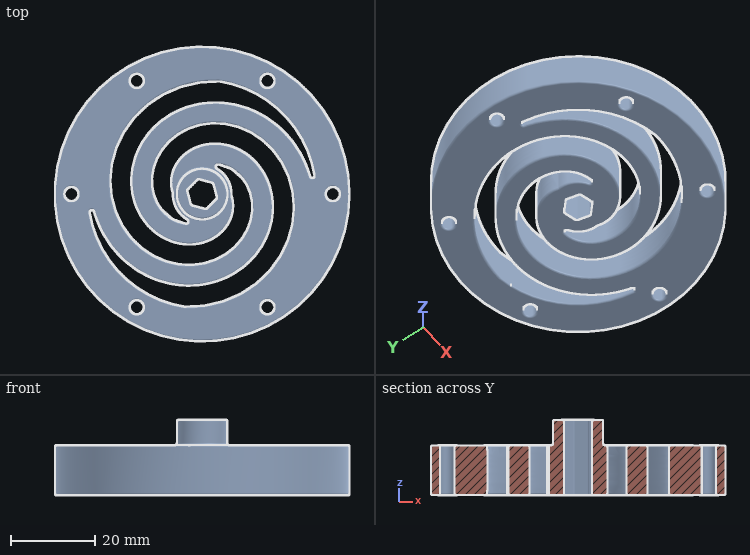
import cadquery as cq
import math

disc_radius = 35.0
disc_height = 12.0
edge_round = 0.5

boss_radius = 6.0
boss_height = 6.0
boss_edge_round = 0.5
boss_base_round = 0.4
hex_sides = 6
hex_across_flats = 6.4
hex_turn = 15.0
hex_corner_round = 0.5
hex_mouth_round = 0.35
mouth_box_half_width = 4.6
mouth_box_half_height = 0.1

arm_count = 2
arm_thickness = 5.0
hub_radius = 7.0
rim_inner_radius = 27.0
spiral_pitch = rim_inner_radius - hub_radius
spiral_start_angle = 72.0
slot_tip_round = 0.505
wall_spans = 36
bisection_steps = 50

hole_count = 6
hole_circle_radius = 31.0
hole_diameter = 3.3

OUTWARD = 1
INWARD = -1


def arm_wall_point(arm, side, middle_radius):
    """Point on one wall of an arm, square to its clockwise Archimedean middle line."""
    turns = middle_radius / spiral_pitch + arm / arm_count
    angle = math.radians(spiral_start_angle) - 2 * math.pi * turns
    lean = math.atan2(spiral_pitch / (2 * math.pi), middle_radius)
    offset = side * arm_thickness / 2
    x = middle_radius * math.cos(angle) + offset * math.cos(angle + lean)
    y = middle_radius * math.sin(angle) + offset * math.sin(angle + lean)
    return cq.Vector(x, y)


def middle_radius_at(side, wall_radius):
    """Radius of the middle line where the wall reaches wall_radius, by bisection."""
    low = wall_radius - arm_thickness
    high = wall_radius + arm_thickness
    for _ in range(bisection_steps):
        middle = (low + high) / 2
        if arm_wall_point(0, side, middle).Length < wall_radius:
            low = middle
        else:
            high = middle
    return low


def arm_wall(arm, side):
    """Points along one wall of an arm, from the hub to the rim."""
    start = middle_radius_at(side, hub_radius)
    end = middle_radius_at(side, rim_inner_radius)
    step = (end - start) / wall_spans
    return [arm_wall_point(arm, side, start + i * step) for i in range(wall_spans + 1)]


def closing_arc(start, end):
    """Arc about the axis between two points at the same radius."""
    middle = (start + end).normalized() * start.Length
    return cq.Edge.makeThreePointArc(start, middle, end)


def spiral_slot():
    """Slot between the outer wall of one arm and the inner wall of the next."""
    inner_wall = arm_wall(0, OUTWARD)
    outer_wall = arm_wall(-1, INWARD)
    hub_tip = outer_wall[0]
    rim_tip = inner_wall[-1]
    outline = cq.Wire.assembleEdges(
        [
            cq.Edge.makeSpline(outer_wall),
            closing_arc(outer_wall[-1], rim_tip),
            cq.Edge.makeSpline(inner_wall),
            closing_arc(inner_wall[0], hub_tip),
        ]
    )
    slot = cq.Workplane(cq.Solid.extrudeLinear(outline, [], cq.Vector(0, 0, disc_height)))
    for tip in (hub_tip, rim_tip):
        at_tip = cq.selectors.NearestToPointSelector((tip.x, tip.y, disc_height / 2))
        slot = slot.edges("|Z").edges(at_tip).fillet(slot_tip_round)
    return slot


def slotted_disc():
    disc = cq.Workplane("XY").circle(disc_radius).extrude(disc_height)
    slot = spiral_slot()
    for i in range(arm_count):
        disc = disc.cut(slot.rotate((0, 0, 0), (0, 0, 1), i * 360 / arm_count))
    holes = (
        cq.Workplane("XY")
        .polarArray(hole_circle_radius, 0, 360, hole_count)
        .circle(hole_diameter / 2)
        .extrude(disc_height)
    )
    return disc.cut(holes).faces("<Z or >Z").edges().fillet(edge_round)


def add_boss(body):
    boss = (
        cq.Workplane("XY")
        .workplane(offset=disc_height)
        .circle(boss_radius)
        .extrude(boss_height)
        .faces(">Z")
        .edges()
        .fillet(boss_edge_round)
    )
    base = cq.selectors.NearestToPointSelector((0, 0, disc_height))
    return body.union(boss).edges("%CIRCLE").edges(base).fillet(boss_base_round)


def cut_hex_bore(body):
    total_height = disc_height + boss_height
    hexagon = (
        cq.Workplane("XY")
        .polygon(hex_sides, hex_across_flats, circumscribed=True)
        .extrude(total_height)
        .edges("|Z")
        .fillet(hex_corner_round)
        .rotate((0, 0, 0), (0, 0, 1), hex_turn)
    )
    mouth = cq.selectors.BoxSelector(
        (-mouth_box_half_width, -mouth_box_half_width, total_height - mouth_box_half_height),
        (mouth_box_half_width, mouth_box_half_width, total_height + mouth_box_half_height),
        boundingbox=True,
    )
    return body.cut(hexagon).edges(mouth).fillet(hex_mouth_round)


result = cut_hex_bore(add_boss(slotted_disc()))